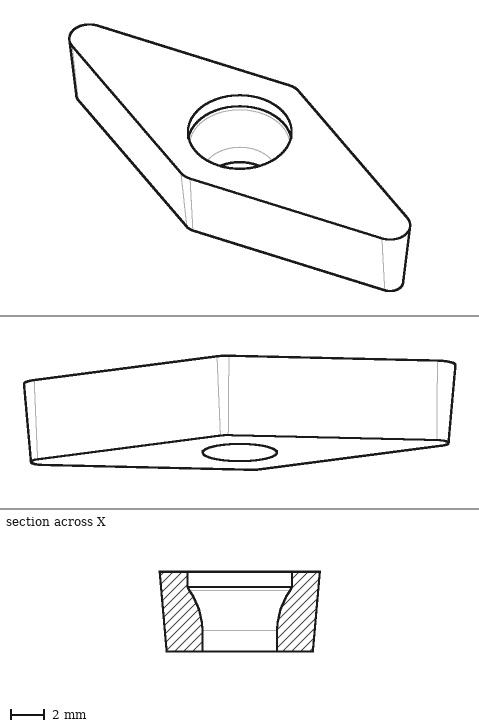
import cadquery as cq
import math

thickness = 4.75
rhombus_height = 9.55
acute_angle = math.radians(35)
relief_angle = 5.0
nose_radius = 1.2

bore_radius = 4.4 / 2
mouth_radius = 3.08
mouth_depth = 0.93
seat_radius = 2.98
seat_depth = 1.13
seat_curve_radius = 4.0


def insert_body():
    """Rounded rhombus, largest at the top and tapering down to the base."""
    side = rhombus_height / math.sin(acute_angle)
    half_height = rhombus_height / 2
    acute_x = side * (1 + math.cos(acute_angle)) / 2
    obtuse_x = side * (1 - math.cos(acute_angle)) / 2
    corners = [
        (-acute_x, -half_height),
        (obtuse_x, -half_height),
        (acute_x, half_height),
        (-obtuse_x, half_height),
    ]
    sharp = cq.Workplane("XY").polyline(corners).close().extrude(thickness)
    outline = sharp.edges("|Z").fillet(nose_radius).faces(">Z").wires()
    return outline.toPending().workplane().extrude(-thickness, taper=relief_angle, combine=False)


def screw_hole():
    """Revolved cutter: straight mouth, short cone, convex seat and bore."""
    seat_angle = math.acos(1 - (seat_radius - bore_radius) / seat_curve_radius)
    seat_end_z = thickness - seat_depth - seat_curve_radius * math.sin(seat_angle)
    curve_center_x = bore_radius + seat_curve_radius
    middle_of_seat = (
        curve_center_x - seat_curve_radius * math.cos(seat_angle / 2),
        seat_end_z + seat_curve_radius * math.sin(seat_angle / 2),
    )
    profile = (
        cq.Workplane("XZ")
        .moveTo(0, 0)
        .lineTo(bore_radius, 0)
        .lineTo(bore_radius, seat_end_z)
        .threePointArc(middle_of_seat, (seat_radius, thickness - seat_depth))
        .lineTo(mouth_radius, thickness - mouth_depth)
        .lineTo(mouth_radius, thickness)
        .lineTo(0, thickness)
        .close()
    )
    return profile.revolve(360, (0, 0, 0), (0, 1, 0))


result = insert_body().cut(screw_hole())